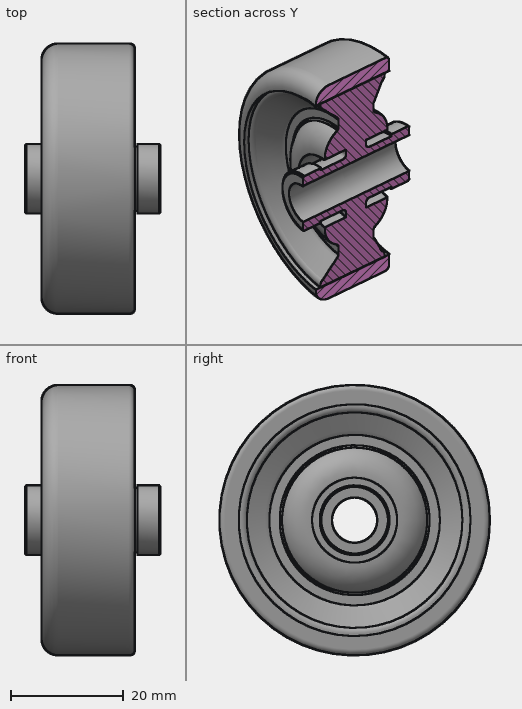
import cadquery as cq
import math

TYRE_RADIUS = 24.0
TYRE_BORE_RADIUS = 20.55
TYRE_LEFT = -9.1
TYRE_RIGHT = 7.5
LEFT_SHOULDER = 3.0
RIGHT_SHOULDER = 1.0

RIM_RECESS = 1.0
RIM_FACE_RADIUS = 20.1
RIM_LIP_DEPTH = 0.6
DISH_OUTER_RADIUS = 19.1
DISH_INNER_RADIUS = 15.8
DISH_INNER_HEIGHT = 0.4
WEB_LEFT = -4.0
WEB_RADIUS = 15.1
DOME_FOOT_RADIUS = 13.3
DOME_RADIUS = 12.85
DOME_FOOT_HEIGHT = 0.25
DOME_TOP_RADIUS = 7.9
DOME_TOP_LEFT = -7.1
DOME_LAND = 0.4
RECESS_DEPTH = 4.8

HUB_HALF_LENGTH = 12.0
HUB_RADIUS = 6.2
HUB_CHAMFER = 0.3
HUB_BORE_RADIUS = 4.0
NECK_RADIUS = 5.75
NECK_HALF_LENGTH = 7.9
NECK_FOOT_ROUND = 0.7

SIN_45 = math.sin(math.radians(45))


def revolve_about_x(profile):
    """Turn a closed (x, radius) profile in the XY plane into a round solid."""
    return profile.close().revolve(360, (0, 0, 0), (1, 0, 0))


def make_tyre():
    left_inset = LEFT_SHOULDER * (1 - SIN_45)
    right_inset = RIGHT_SHOULDER * (1 - SIN_45)
    profile = (
        cq.Workplane("XY")
        .moveTo(TYRE_LEFT, TYRE_BORE_RADIUS)
        .lineTo(TYRE_LEFT, TYRE_RADIUS - LEFT_SHOULDER)
        .threePointArc(
            (TYRE_LEFT + left_inset, TYRE_RADIUS - left_inset),
            (TYRE_LEFT + LEFT_SHOULDER, TYRE_RADIUS),
        )
        .lineTo(TYRE_RIGHT - RIGHT_SHOULDER, TYRE_RADIUS)
        .threePointArc(
            (TYRE_RIGHT - right_inset, TYRE_RADIUS - right_inset),
            (TYRE_RIGHT, TYRE_RADIUS - RIGHT_SHOULDER),
        )
        .lineTo(TYRE_RIGHT, TYRE_BORE_RADIUS)
    )
    return revolve_about_x(profile)


def make_core_half(rim_face):
    """Half of the core on the -X side of the mid plane, with its rim face at x = rim_face."""
    web_edge = WEB_LEFT - DISH_INNER_HEIGHT
    dome_foot = WEB_LEFT - DOME_FOOT_HEIGHT
    recess_floor = DOME_TOP_LEFT + RECESS_DEPTH
    recess_radius = DOME_TOP_RADIUS - DOME_LAND
    foot_inset = NECK_FOOT_ROUND * (1 - SIN_45)
    profile = (
        cq.Workplane("XY")
        .moveTo(0, TYRE_BORE_RADIUS)
        .lineTo(rim_face, TYRE_BORE_RADIUS)
        .lineTo(rim_face, RIM_FACE_RADIUS)
        .tangentArcPoint((rim_face + RIM_LIP_DEPTH, DISH_OUTER_RADIUS), relative=False)
        .lineTo(web_edge, DISH_INNER_RADIUS)
        .tangentArcPoint((WEB_LEFT, WEB_RADIUS), relative=False)
        .lineTo(WEB_LEFT, DOME_FOOT_RADIUS)
        .lineTo(dome_foot, DOME_RADIUS)
        .threePointArc(dome_middle(), (DOME_TOP_LEFT, DOME_TOP_RADIUS))
        .lineTo(DOME_TOP_LEFT, recess_radius)
        .lineTo(recess_floor, recess_radius)
        .lineTo(recess_floor, NECK_RADIUS + NECK_FOOT_ROUND)
        .threePointArc(
            (recess_floor - foot_inset, NECK_RADIUS + foot_inset),
            (recess_floor - NECK_FOOT_ROUND, NECK_RADIUS),
        )
        .lineTo(-NECK_HALF_LENGTH, NECK_RADIUS)
        .lineTo(-NECK_HALF_LENGTH, HUB_RADIUS)
        .lineTo(-HUB_HALF_LENGTH + HUB_CHAMFER, HUB_RADIUS)
        .lineTo(-HUB_HALF_LENGTH, HUB_RADIUS - HUB_CHAMFER)
        .lineTo(-HUB_HALF_LENGTH, HUB_BORE_RADIUS)
        .lineTo(0, HUB_BORE_RADIUS)
    )
    return revolve_about_x(profile)


def dome_middle():
    """Middle point of the dome arc, which starts square to the axis at the dome top."""
    rise = WEB_LEFT - DOME_FOOT_HEIGHT - DOME_TOP_LEFT
    run = DOME_RADIUS - DOME_TOP_RADIUS
    arc_radius = (rise**2 + run**2) / (2 * rise)
    half_angle = math.atan2(rise, run)
    return (
        DOME_TOP_LEFT + arc_radius * (1 - math.cos(half_angle)),
        DOME_TOP_RADIUS + arc_radius * math.sin(half_angle),
    )


def make_core():
    left_half = make_core_half(TYRE_LEFT + RIM_RECESS)
    right_half = make_core_half(RIM_RECESS - TYRE_RIGHT).mirror("YZ")
    return left_half.union(right_half)


tyre = make_tyre()
core = make_core()

result = cq.Compound.makeCompound([tyre.val(), core.val()])